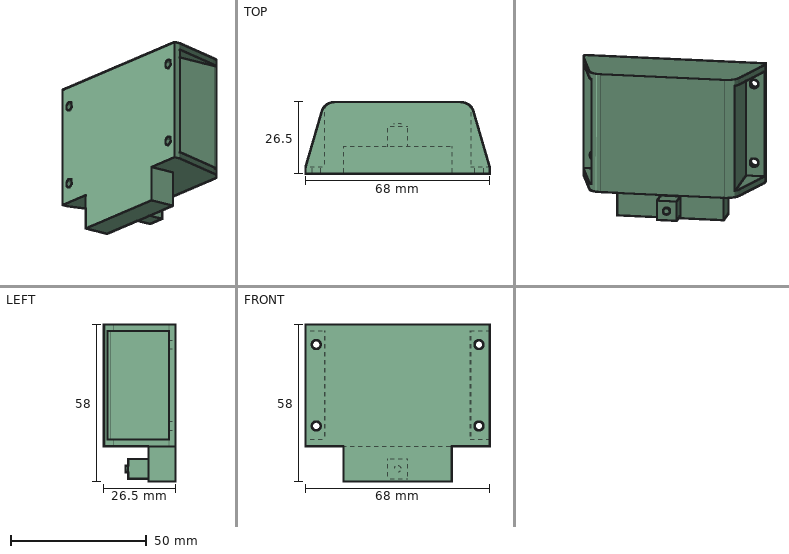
import cadquery as cq

base_width = 68.0
depth = 26.5
body_height = 45.0
plate_thickness = 2.5
back_corner_radius = 5.0

cap_thickness = 2.5
core_width = 54.0
core_corner_radius = 2.5

hole_diameter = 3.2
hole_spacing_x = 60.0
hole_spacing_z = 30.0

block_width = 40.0
block_depth = 10.0
block_height = 13.0

plug_size = 7.4
plug_length = 7.5
plug_center_height = 4.65
pin_diameter = 2.5
pin_length = 1.0

body_center_z = block_height + body_height / 2


def make_housing():
    """Outline tapering from the base plate to the core width, with both back corners rounded."""
    half_base = base_width / 2
    half_back = core_width / 2
    outline = [
        (-half_base, 0),
        (half_base, 0),
        (half_base, plate_thickness),
        (half_back, depth),
        (-half_back, depth),
        (-half_base, plate_thickness),
    ]
    housing = cq.Workplane("XY", origin=(0, 0, block_height)).polyline(outline).close().extrude(body_height)
    return housing.edges("|Z and >Y").fillet(back_corner_radius)


def make_side_recesses():
    """Space on both sides of the rounded core, between the caps and behind the base plate."""
    recess_height = body_height - 2 * cap_thickness
    recess_depth = depth - plate_thickness
    envelope = cq.Workplane("XY").box(base_width, recess_depth, recess_height)
    core = cq.Workplane("XY").box(core_width, recess_depth, recess_height)
    core = core.edges("|Z and >Y").fillet(core_corner_radius)
    return envelope.cut(core).translate((0, plate_thickness + recess_depth / 2, body_center_z))


def make_mounting_holes():
    """Four cylinders that pass through the base plate."""
    return (
        cq.Workplane("XZ", origin=(0, 0, body_center_z))
        .rarray(hole_spacing_x, hole_spacing_z, 2, 2)
        .circle(hole_diameter / 2)
        .extrude(-plate_thickness)
    )


def make_connector():
    """Block flush with the base plate, carrying the plug and its pin."""
    block = cq.Workplane("XY").box(block_width, block_depth, block_height, centered=(True, False, False))
    plug = (
        cq.Workplane("XZ", origin=(0, block_depth, plug_center_height))
        .rect(plug_size, plug_size)
        .extrude(-plug_length)
    )
    pin = (
        cq.Workplane("XZ", origin=(0, block_depth + plug_length, plug_center_height))
        .circle(pin_diameter / 2)
        .extrude(-pin_length)
    )
    return block.union(plug).union(pin)


housing = make_housing().cut(make_side_recesses()).cut(make_mounting_holes())
result = housing.union(make_connector())